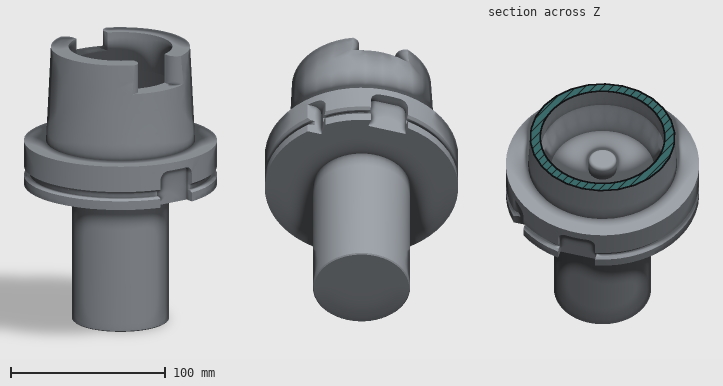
import cadquery as cq
import math

TOTAL_HEIGHT = 182.9
FLANGE_BOTTOM = 90.9
FLANGE_TOP = 120.0

SHANK_RADIUS = 63.0 / 2
SHANK_CHAMFER = 0.7

FLANGE_RADIUS = 125.0 / 2
GROOVE_RADIUS = 58.7
GROOVE_STEP_RADIUS = 60.7
GROOVE_LOWER_LIP = 96.8
GROOVE_LOWER_STEP = 97.9
GROOVE_UPPER_STEP = 101.5
GROOVE_UPPER_LIP = 103.0

TAPER_BASE_RADIUS = 48.1
TAPER_TOP_RADIUS = 45.0
BORE_RADIUS = 67.1 / 2
UNDERCUT_RADIUS = 80.1 / 2
UNDERCUT_TOP = 158.0
UNDERCUT_BOTTOM = 132.6
UNDERCUT_FOOT_SLOPE = 70.0
UNDERCUT_FOOT_HEIGHT = (UNDERCUT_RADIUS - BORE_RADIUS) * math.tan(math.radians(UNDERCUT_FOOT_SLOPE))
BORE_FLOOR = UNDERCUT_BOTTOM - UNDERCUT_FOOT_HEIGHT

PIN_RADIUS = 18.0 / 2
PIN_TIP_RADIUS = 7.0
PIN_HEIGHT = 10.0

SLOT_WIDTH = 24.9
NOTCH_DEPTH_LEFT = 12.3
NOTCH_DEPTH_RIGHT = 19.2
NOTCH_CORNER_RADIUS = 7.0
NOTCH_SHOULDER = 41.2
NOTCH_FLOOR_FILLET = 2.4

KEYWAY_TOP = 114.9
KEYWAY_FLOOR = 55.6
KEYWAY_CORNER_RADIUS = 5.5
CORNER_NOTCH_X = 39.3
CORNER_NOTCH_Y = 39.3

REACH = 73.2


def turned_body():
    """Shank, grooved flange and solid taper as one revolved outline."""
    return (
        cq.Workplane("XZ")
        .moveTo(0, 0)
        .lineTo(SHANK_RADIUS - SHANK_CHAMFER, 0)
        .lineTo(SHANK_RADIUS, SHANK_CHAMFER)
        .lineTo(SHANK_RADIUS, FLANGE_BOTTOM)
        .lineTo(FLANGE_RADIUS, FLANGE_BOTTOM)
        .lineTo(FLANGE_RADIUS, GROOVE_LOWER_LIP)
        .lineTo(GROOVE_STEP_RADIUS, GROOVE_LOWER_STEP)
        .lineTo(GROOVE_RADIUS, GROOVE_LOWER_STEP)
        .lineTo(GROOVE_RADIUS, GROOVE_UPPER_STEP)
        .lineTo(GROOVE_STEP_RADIUS, GROOVE_UPPER_STEP)
        .lineTo(FLANGE_RADIUS, GROOVE_UPPER_LIP)
        .lineTo(FLANGE_RADIUS, FLANGE_TOP)
        .lineTo(TAPER_BASE_RADIUS, FLANGE_TOP)
        .lineTo(TAPER_TOP_RADIUS, TOTAL_HEIGHT)
        .lineTo(0, TOTAL_HEIGHT)
        .close()
        .revolve(360, (0, 0, 0), (0, 1, 0))
    )


def bore():
    """Stepped bore with an undercut and a conical foot."""
    return (
        cq.Workplane("XZ")
        .moveTo(0, BORE_FLOOR)
        .lineTo(BORE_RADIUS, BORE_FLOOR)
        .lineTo(UNDERCUT_RADIUS, UNDERCUT_BOTTOM)
        .lineTo(UNDERCUT_RADIUS, UNDERCUT_TOP)
        .lineTo(BORE_RADIUS, UNDERCUT_TOP)
        .lineTo(BORE_RADIUS, TOTAL_HEIGHT)
        .lineTo(0, TOTAL_HEIGHT)
        .close()
        .revolve(360, (0, 0, 0), (0, 1, 0))
    )


def pin():
    """Central pin, rooted on the bore floor and rounded at its tip."""
    return (
        cq.Workplane("XY", origin=(0, 0, BORE_FLOOR))
        .circle(PIN_RADIUS)
        .extrude(PIN_HEIGHT)
        .faces(">Z")
        .edges()
        .fillet(PIN_RADIUS - PIN_TIP_RADIUS)
    )


def drive_notch(depth, floor_fillet=0):
    """Cutter for the notch on +X: a straight slot that flares round the rim corners."""
    half_width = SLOT_WIDTH / 2
    flare_start = NOTCH_SHOULDER - NOTCH_CORNER_RADIUS
    flare_half_width = half_width + NOTCH_CORNER_RADIUS
    midpoint_offset = NOTCH_CORNER_RADIUS * math.sqrt(0.5)
    arc_x = flare_start + midpoint_offset
    arc_y = flare_half_width - midpoint_offset
    floor = cq.Workplane("XY").workplane(offset=TOTAL_HEIGHT - depth)
    flare = (
        floor.moveTo(flare_start, -half_width)
        .threePointArc((arc_x, -arc_y), (NOTCH_SHOULDER, -flare_half_width))
        .lineTo(NOTCH_SHOULDER, -REACH)
        .lineTo(REACH, -REACH)
        .lineTo(REACH, REACH)
        .lineTo(NOTCH_SHOULDER, REACH)
        .lineTo(NOTCH_SHOULDER, flare_half_width)
        .threePointArc((arc_x, arc_y), (flare_start, half_width))
        .close()
        .extrude(depth)
    )
    if floor_fillet:
        flare = flare.faces("<Z").edges("%CIRCLE").fillet(floor_fillet)
    slot = floor.center(NOTCH_SHOULDER / 2, 0).rect(NOTCH_SHOULDER, SLOT_WIDTH).extrude(depth)
    return slot.union(flare)


def keyway():
    """Cutter for the round-cornered keyway on +X, open at the flange underside."""
    return (
        cq.Workplane("YZ", origin=(KEYWAY_FLOOR, 0, 0))
        .center(0, (KEYWAY_TOP + FLANGE_BOTTOM) / 2)
        .rect(SLOT_WIDTH, KEYWAY_TOP - FLANGE_BOTTOM)
        .extrude(REACH - KEYWAY_FLOOR)
        .edges("|X and >Z")
        .fillet(KEYWAY_CORNER_RADIUS)
    )


def corner_notch():
    """Cutter for the orientation notch on the -X +Y side of the flange."""
    return (
        cq.Workplane("XY", origin=(-CORNER_NOTCH_X, CORNER_NOTCH_Y, FLANGE_BOTTOM))
        .box(REACH, REACH, KEYWAY_TOP - FLANGE_BOTTOM, centered=False)
        .translate((-REACH, 0, 0))
        .edges("|X and >Z and <Y")
        .fillet(KEYWAY_CORNER_RADIUS)
    )


def turned_to_left(cutter):
    return cutter.rotate((0, 0, 0), (0, 0, 1), 180)


result = (
    turned_body()
    .cut(bore())
    .union(pin())
    .cut(drive_notch(NOTCH_DEPTH_RIGHT))
    .cut(turned_to_left(drive_notch(NOTCH_DEPTH_LEFT, NOTCH_FLOOR_FILLET)))
    .cut(keyway())
    .cut(turned_to_left(keyway()))
    .cut(corner_notch())
)